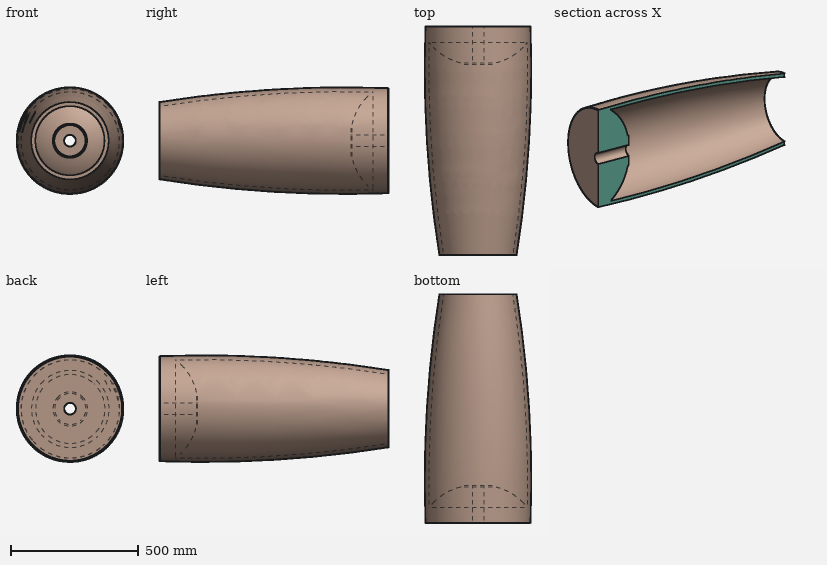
import cadquery as cq

length = 900.0
front_radius = 152.0
middle_radius = 202.0
back_radius = 207.0
wall = 16.0
edge_chamfer = 3.0

wall_rim_depth = 54.0
dome_height = 90.0
dome_middle_rise = 63.0
hub_radius = 61.0
hub_base_radius = 67.5
hub_height = 5.0
bore_radius = 22.5


def revolve_about_y(profile):
    return profile.close().revolve(360, (0, 0, 0), (0, 1, 0))


def barrel(offset):
    """Solid barrel whose side arc is moved inward by the offset."""
    return revolve_about_y(
        cq.Workplane("XY")
        .lineTo(front_radius - offset, 0)
        .threePointArc((middle_radius - offset, length / 2), (back_radius - offset, length))
        .lineTo(0, length)
    )


def closing_wall():
    """Domed disc with a tapered central hub, filling the back of the barrel."""
    rim_radius = back_radius - wall / 2
    rim_y = length - wall_rim_depth
    dome_y = rim_y - dome_height
    dome_middle_radius = (rim_radius + hub_base_radius) / 2
    return revolve_about_y(
        cq.Workplane("XY")
        .moveTo(0, length)
        .lineTo(rim_radius, length)
        .lineTo(rim_radius, rim_y)
        .threePointArc((dome_middle_radius, rim_y - dome_middle_rise), (hub_base_radius, dome_y))
        .lineTo(hub_radius, dome_y - hub_height)
        .lineTo(0, dome_y - hub_height)
    )


outer = barrel(0).faces(">Y").edges().chamfer(edge_chamfer)
shell = outer.cut(barrel(wall))
center_bore = cq.Workplane("XZ").circle(bore_radius).extrude(-length)

result = shell.union(closing_wall().intersect(outer)).cut(center_bore)